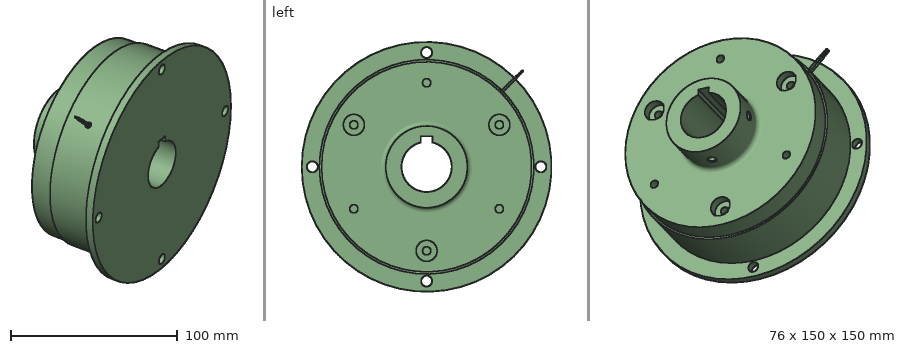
import cadquery as cq

TOTAL_LENGTH = 76.0
HUB_DIAMETER = 49.0
PLATE_FACE_X = 24.2
PLATE_DIAMETER = 126.0
BODY_FACE_X = 38.1
BODY_DIAMETER = 128.7
FLANGE_DIAMETER = 150.0
FLANGE_THICKNESS = 5.0
FLANGE_FACE_X = TOTAL_LENGTH - FLANGE_THICKNESS
HUB_FILLET = 3.0

BORE_DIAMETER = 30.0
KEYWAY_WIDTH = 6.9
KEYWAY_TOP_Z = 18.3

FLANGE_HOLE_COUNT = 4
FLANGE_HOLE_DIAMETER = 6.5
FLANGE_HOLE_CIRCLE = 137.1
FLANGE_HOLE_START_ANGLE = 0

PLATE_HOLE_COUNT = 6
PLATE_HOLE_DIAMETER = 5.0
PLATE_HOLE_DEPTH = 12.0
PLATE_HOLE_CIRCLE = 100.8
PLATE_HOLE_START_ANGLE = 30
COUNTERBORE_DIAMETER = 12.6
COUNTERBORE_DEPTH = 6.0

SET_SCREW_ANGLES = (90, 180)
SET_SCREW_X = 12.2
SET_SCREW_DIAMETER = 4.8
SET_SCREW_MOUTH_DIAMETER = 6.0

WIRE_X = 53.1
WIRE_ANGLE = 45.0
WIRE_PITCH = 2.2
WIRE_DIAMETER = 1.4
WIRE_END_RADIUS = 76.5
CONDUCTOR_DIAMETER = 0.9
CONDUCTOR_END_RADIUS = 81.6
WIRE_HOLE_DIAMETER = 3.6
WIRE_HOLE_DEPTH = 6.0
WIRE_HOLE_FLOOR = BODY_DIAMETER / 2 - WIRE_HOLE_DEPTH
WIRE_ROOT_DEPTH = 1.5

SELECTION_MARGIN = 0.2


def x_cylinder(diameter, start_x, end_x):
    """Cylinder on the part axis between two X positions."""
    return cq.Workplane("YZ", origin=(start_x, 0, 0)).circle(diameter / 2).extrude(end_x - start_x)


def x_holes(diameter, start_x, depth, circle_diameter, count, start_angle):
    """Ring of equal drills along +X; angles run from +Y toward +Z."""
    return (
        cq.Workplane("YZ", origin=(start_x, 0, 0))
        .polarArray(circle_diameter / 2, start_angle, 360, count)
        .circle(diameter / 2)
        .extrude(depth)
    )


def radial_cylinder(diameter, x, start_radius, end_radius, angle, taper=0):
    """Cylinder along +Z, turned by the angle about the part axis from +Z toward -Y.

    A negative taper angle makes it a cone that widens outward.
    """
    return (
        cq.Workplane("XY", origin=(x, 0, start_radius))
        .circle(diameter / 2)
        .extrude(end_radius - start_radius, taper=taper)
        .rotate((0, 0, 0), (1, 0, 0), angle)
    )


def stepped_body():
    hub = x_cylinder(HUB_DIAMETER, 0, PLATE_FACE_X)
    plate = x_cylinder(PLATE_DIAMETER, PLATE_FACE_X, BODY_FACE_X)
    body = x_cylinder(BODY_DIAMETER, BODY_FACE_X, TOTAL_LENGTH)
    flange = x_cylinder(FLANGE_DIAMETER, FLANGE_FACE_X, TOTAL_LENGTH)
    hub_root = cq.selectors.BoxSelector(
        (PLATE_FACE_X - SELECTION_MARGIN, -HUB_DIAMETER, -HUB_DIAMETER),
        (PLATE_FACE_X + SELECTION_MARGIN, HUB_DIAMETER, HUB_DIAMETER),
        boundingbox=True,
    )
    return hub.union(plate).edges(hub_root).fillet(HUB_FILLET).union(body).union(flange)


def keyed_bore():
    bore = x_cylinder(BORE_DIAMETER, 0, TOTAL_LENGTH)
    keyway = cq.Workplane("XY").box(
        TOTAL_LENGTH, KEYWAY_WIDTH, KEYWAY_TOP_Z, centered=(False, True, False)
    )
    return bore.union(keyway)


def flange_holes():
    return x_holes(
        FLANGE_HOLE_DIAMETER, FLANGE_FACE_X, FLANGE_THICKNESS,
        FLANGE_HOLE_CIRCLE, FLANGE_HOLE_COUNT, FLANGE_HOLE_START_ANGLE,
    )


def plate_holes():
    drills = x_holes(
        PLATE_HOLE_DIAMETER, PLATE_FACE_X, PLATE_HOLE_DEPTH,
        PLATE_HOLE_CIRCLE, PLATE_HOLE_COUNT, PLATE_HOLE_START_ANGLE,
    )
    counterbores = x_holes(
        COUNTERBORE_DIAMETER, PLATE_FACE_X, COUNTERBORE_DEPTH,
        PLATE_HOLE_CIRCLE, PLATE_HOLE_COUNT // 2, PLATE_HOLE_START_ANGLE,
    )
    return drills.union(counterbores)


def set_screw_hole(angle):
    """Radial hole with a 45 degree chamfer at the hub surface."""
    hub_radius = HUB_DIAMETER / 2
    chamfer = (SET_SCREW_MOUTH_DIAMETER - SET_SCREW_DIAMETER) / 2
    drill = radial_cylinder(SET_SCREW_DIAMETER, SET_SCREW_X, 0, hub_radius, angle)
    mouth = radial_cylinder(
        SET_SCREW_DIAMETER, SET_SCREW_X, hub_radius - chamfer, hub_radius, angle, taper=-45
    )
    return drill.union(mouth)


def wire_hole():
    return radial_cylinder(WIRE_HOLE_DIAMETER, WIRE_X, WIRE_HOLE_FLOOR, BODY_DIAMETER / 2, WIRE_ANGLE)


def wire(x):
    """Insulated wire with a bare end, rooted below the floor of the wire hole."""
    root = WIRE_HOLE_FLOOR - WIRE_ROOT_DEPTH
    insulation = radial_cylinder(WIRE_DIAMETER, x, root, WIRE_END_RADIUS, WIRE_ANGLE)
    conductor = radial_cylinder(CONDUCTOR_DIAMETER, x, root, CONDUCTOR_END_RADIUS, WIRE_ANGLE)
    return insulation.union(conductor)


part = stepped_body().cut(keyed_bore()).cut(flange_holes()).cut(plate_holes())
for screw_angle in SET_SCREW_ANGLES:
    part = part.cut(set_screw_hole(screw_angle))

part = part.cut(wire_hole())
for side in (-1, 1):
    part = part.union(wire(WIRE_X + side * WIRE_PITCH / 2))

result = part